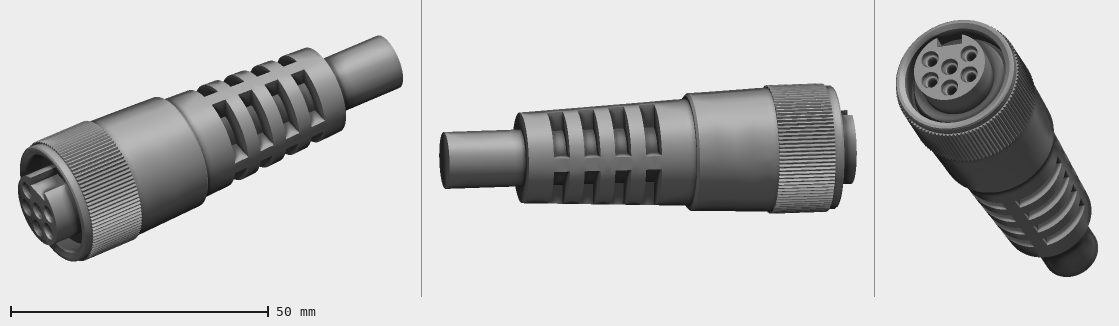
import cadquery as cq
import math

length = 80.0
sleeve_end = 65.0
nut_end = 32.2
nut_cone_end = 17.5
knurl_end = 16.2
knurl_start = 5.1
nut_start = 3.3
flange_face = 6.2
groove_floor = 8.4
sleeve_cone_end = 33.7

cable_radius = 5.5
sleeve_small_radius = 8.8
sleeve_large_radius = 10.3

nut_radius = 12.0
nut_back_radius = 11.4
nut_back_chamfer = 0.5
nut_front_chamfer = 0.2
nut_front_chamfer_length = 0.3
mouth_radius = 11.2
nut_bore_radius = 10.2
mouth_depth = 0.6
knurl_radius = 12.5
knurl_root_radius = 12.1
tooth_count = 100
root_half_share = 0.45
tip_half_share = 0.1

flange_face_radius = 9.0
flange_shoulder_radius = 9.3
flange_chamfer = flange_shoulder_radius - flange_face_radius
flange_base_radius = 9.8
notch_width = 4.3

insert_radius = 7.2
key_slot_width = 5.0
key_slot_floor = 4.7
contact_circle_radius = 4.6
contact_angles = (30, 150, 210, 270, 330)
contact_hole_radius = 1.8
contact_hole_depth = 1.0
contact_radius = 1.5
contact_gap_depth = 0.2
contact_mouth_radius = 1.1
contact_bore_radius = 1.0
contact_bore_depth = 4.8
drill_tip_angle = 118.0

slot_count = 4
slot_pitch = 6.0
slot_width = 3.1
first_slot_center = 40.5
rib_width = 2.6


def cylinder(radius, start, end, x=0, z=0):
    """Cylinder along +Y from start to end, centred on (x, z)."""
    return cq.Workplane("XZ", origin=(x, start, z)).circle(radius).extrude(start - end)


def turned(profile):
    """Revolve (radius, y) points about the Y axis."""
    return cq.Workplane("XY").polyline(profile).close().revolve(360, (0, 0, 0), (0, 1, 0))


def make_body():
    """Solid of revolution: nut, sleeve and cable in one outline."""
    return turned([
        (0, nut_start),
        (nut_radius - nut_front_chamfer, nut_start),
        (nut_radius, nut_start + nut_front_chamfer_length),
        (nut_radius, nut_cone_end),
        (nut_back_radius, nut_end - nut_back_chamfer),
        (nut_back_radius - nut_back_chamfer, nut_end),
        (sleeve_large_radius, nut_end),
        (sleeve_large_radius, sleeve_cone_end),
        (sleeve_small_radius, sleeve_end),
        (cable_radius, sleeve_end),
        (cable_radius, length),
        (0, length),
    ])


def make_knurl():
    """Ring of straight teeth with sloping flanks; a gap is centred on each of the X and Z axes."""
    spacing = 2 * math.pi / tooth_count
    outline = []
    for tooth in range(tooth_count):
        center = (tooth + 1 / 2) * spacing
        for position, radius in (
            (-root_half_share, knurl_root_radius),
            (-tip_half_share, knurl_radius),
            (tip_half_share, knurl_radius),
            (root_half_share, knurl_root_radius),
        ):
            turn = center + position * spacing
            outline.append((radius * math.cos(turn), radius * math.sin(turn)))
    teeth = cq.Workplane("XZ", origin=(0, knurl_start, 0)).polyline(outline).close()
    ring = teeth.extrude(knurl_start - knurl_end)
    return ring.cut(cylinder(nut_bore_radius, knurl_start, knurl_end))


def make_socket():
    """Space inside the nut mouth, around the flange."""
    mouth = turned([
        (0, nut_start),
        (mouth_radius, nut_start),
        (nut_bore_radius, nut_start + mouth_depth),
        (nut_bore_radius, groove_floor),
        (flange_base_radius, groove_floor),
        (flange_shoulder_radius, flange_face + flange_chamfer),
        (flange_face_radius, flange_face),
        (0, flange_face),
    ])
    notch = (
        cylinder(nut_bore_radius, flange_face, groove_floor)
        .cut(cylinder(flange_shoulder_radius, flange_face, groove_floor))
        .intersect(
            cq.Workplane("XY")
            .box(notch_width, length, nut_bore_radius, centered=(True, True, False))
        )
    )
    return mouth.union(notch)


def make_insert():
    """Contact carrier with the key slot along its top."""
    key_slot = (
        cq.Workplane("XY", origin=(0, 0, key_slot_floor))
        .box(key_slot_width, flange_face, insert_radius, centered=(True, False, False))
    )
    return cylinder(insert_radius, 0, flange_face).cut(key_slot)


def make_contact_holes():
    """Holes with recessed contacts: one in the centre, the rest on the contact circle."""
    rim = contact_hole_depth + contact_gap_depth
    lead_in_end = rim + contact_mouth_radius - contact_bore_radius
    tip = contact_bore_depth + contact_bore_radius / math.tan(math.radians(drill_tip_angle / 2))
    hole = turned([
        (0, 0),
        (contact_hole_radius, 0),
        (contact_hole_radius, contact_hole_depth),
        (contact_radius, rim),
        (contact_mouth_radius, rim),
        (contact_bore_radius, lead_in_end),
        (contact_bore_radius, contact_bore_depth),
        (0, tip),
    ])
    holes = hole
    for angle in contact_angles:
        turn = math.radians(angle)
        x = contact_circle_radius * math.cos(turn)
        z = contact_circle_radius * math.sin(turn)
        holes = holes.union(hole.translate((x, 0, z)))
    return holes


def make_flex_slots():
    """Rings down to the cable surface, interrupted by ribs in the XY and YZ planes."""
    slots = cq.Workplane("XY")
    for index in range(slot_count):
        center = first_slot_center + index * slot_pitch
        start = center - slot_width / 2
        end = center + slot_width / 2
        slots = slots.union(cylinder(nut_radius, start, end).cut(cylinder(cable_radius, start, end)))
    across = 2 * nut_radius
    for rib_size in ((rib_width, length, across), (across, length, rib_width)):
        slots = slots.cut(cq.Workplane("XY").box(*rib_size, centered=(True, False, True)))
    return slots


result = (
    make_body()
    .union(make_knurl())
    .cut(make_socket())
    .union(make_insert())
    .cut(make_contact_holes())
    .cut(make_flex_slots())
)